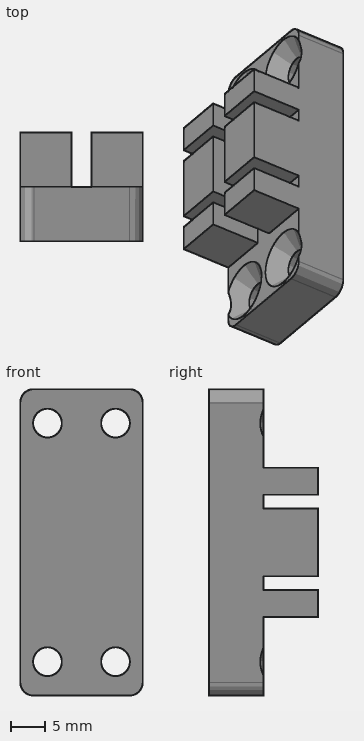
import cadquery as cq

plate_width = 18.0
plate_height = 45.0
plate_thickness = 8.0
corner_radius = 2.0

hole_diameter = 4.2
hole_spacing_x = 10.0
hole_spacing_z = 35.0
countersink_diameter = 9.0
countersink_angle = 90.0

block_depth = 8.0
centre_tooth_height = 10.0
end_tooth_height = 4.0
tooth_gap = 2.0
vertical_slot_width = 2.9
block_height = centre_tooth_height + 2 * (tooth_gap + end_tooth_height)


def make_plate():
    plate = cq.Workplane("XY").box(
        plate_width, plate_thickness, plate_height, centered=(True, False, True)
    )
    plate = plate.edges("|Y").fillet(corner_radius)
    return (
        plate.faces(">Y")
        .workplane(centerOption="CenterOfBoundBox")
        .rarray(hole_spacing_x, hole_spacing_z, 2, 2)
        .cskHole(hole_diameter, countersink_diameter, countersink_angle)
    )


def back_box(width, height, centre_z=0.0):
    """Box standing on the plate's back face, centred on X."""
    return (
        cq.Workplane("XY")
        .box(width, block_depth, height, centered=(True, False, True))
        .translate((0, plate_thickness, centre_z))
    )


def make_teeth():
    teeth = back_box(plate_width, block_height)
    teeth = teeth.cut(back_box(vertical_slot_width, block_height))
    gap_centre_z = (centre_tooth_height + tooth_gap) / 2
    for side in (-1, 1):
        teeth = teeth.cut(back_box(plate_width, tooth_gap, side * gap_centre_z))
    return teeth


result = make_plate().union(make_teeth())